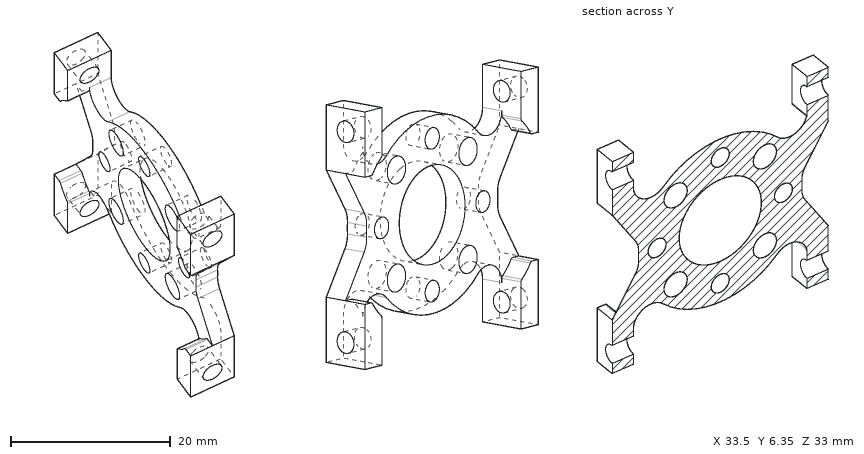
import cadquery as cq
import math

length = 33.53
thickness = 6.35
height = 33.03

plate_thickness = thickness / 2
plate_radius = 12.7
bore_radius = plate_radius / 2

tab_width = 3.32
tab_bottom = 8.15
tab_ledge = 1.4
relief_height = 2.1
relief_sag = 0.15
relief_edge_radius = 0.4
tab_hole_height = 13.5

arm_blend_radius = 2.68
waist_blend_radius = 3.02
waist_blend_height = 0.9

bolt_circle_radius = 9.8
small_hole_radius = 1.37
large_hole_radius = 1.78

half_length = length / 2
half_height = height / 2
tab_inner = half_length - tab_width
rear = plate_thickness


def prism(sketch, depth):
    """Extrude a front-plane sketch forward from the rear face."""
    return sketch.extrude(depth).translate((0, rear, 0))


def point_on_circle(center, radius, angle):
    return (center[0] + radius * math.cos(angle), center[1] + radius * math.sin(angle))


def make_arm():
    """Upper right quarter of the plate, from its centre out to the tab."""
    arm_x = tab_inner - arm_blend_radius
    arm_z = math.sqrt((plate_radius + arm_blend_radius) ** 2 - arm_x**2)
    arm_center = (arm_x, arm_z)
    arm_angle = math.atan2(arm_z, arm_x)
    arm_start = point_on_circle((0, 0), plate_radius, arm_angle)
    arm_middle = point_on_circle(arm_center, arm_blend_radius, (arm_angle - math.pi) / 2)

    waist_z = waist_blend_height
    waist_x = math.sqrt((plate_radius + waist_blend_radius) ** 2 - waist_z**2)
    waist_center = (waist_x, waist_z)
    waist_angle = math.atan2(waist_z, waist_x)
    corner_dx = half_length - waist_x
    corner_dz = tab_bottom - waist_z
    corner_angle = math.atan2(corner_dz, corner_dx)
    tangent_turn = math.acos(waist_blend_radius / math.hypot(corner_dx, corner_dz))
    slope_angle = corner_angle + tangent_turn
    disc_angle = math.pi + waist_angle
    waist_slope = point_on_circle(waist_center, waist_blend_radius, slope_angle)
    waist_middle = point_on_circle(waist_center, waist_blend_radius, (slope_angle + disc_angle) / 2)
    waist_disc = point_on_circle((0, 0), plate_radius, waist_angle)

    outline = (
        cq.Workplane("XZ")
        .lineTo(*arm_start)
        .threePointArc(arm_middle, (tab_inner, arm_z))
        .lineTo(tab_inner, half_height)
        .lineTo(half_length, half_height)
        .lineTo(half_length, tab_bottom)
        .lineTo(*waist_slope)
        .threePointArc(waist_middle, waist_disc)
        .close()
    )
    return prism(outline, plate_thickness)


def make_tab():
    """Upper right tab, full thickness, with a hollow relief across its lower inner corner."""
    ledge_end = (half_length - tab_ledge, tab_bottom)
    relief_top = (tab_inner, tab_bottom + relief_height)
    outline = (
        cq.Workplane("XZ")
        .moveTo(*relief_top)
        .lineTo(tab_inner, half_height)
        .lineTo(half_length, half_height)
        .lineTo(half_length, tab_bottom)
        .lineTo(*ledge_end)
        .sagittaArc(relief_top, -relief_sag)
        .close()
    )
    tab = prism(outline, thickness)
    for x, z in (ledge_end, relief_top):
        tab = tab.edges(cq.NearestToPointSelector((x, 0, z))).fillet(relief_edge_radius)
    return tab


def holes(radius, start_angle):
    """Four plate holes evenly spaced on the bolt circle."""
    pattern = cq.Workplane("XZ").polarArray(bolt_circle_radius, start_angle, 360, 4)
    return prism(pattern.circle(radius), thickness)


disc = prism(cq.Workplane("XZ").circle(plate_radius), plate_thickness)
upper_right = make_arm().union(make_tab())
right = upper_right.union(upper_right.mirror("XY"))
body = disc.union(right).union(right.mirror("YZ"))

bore = prism(cq.Workplane("XZ").circle(bore_radius), thickness)
body = body.cut(bore)
body = body.cut(holes(small_hole_radius, 0))
body = body.cut(holes(large_hole_radius, 45))

for side in (-1, 1):
    for level in (-1, 1):
        tab_hole = (
            cq.Workplane("YZ", origin=(side * tab_inner, 0, level * tab_hole_height))
            .circle(small_hole_radius)
            .extrude(side * tab_width)
        )
        body = body.cut(tab_hole)

result = body